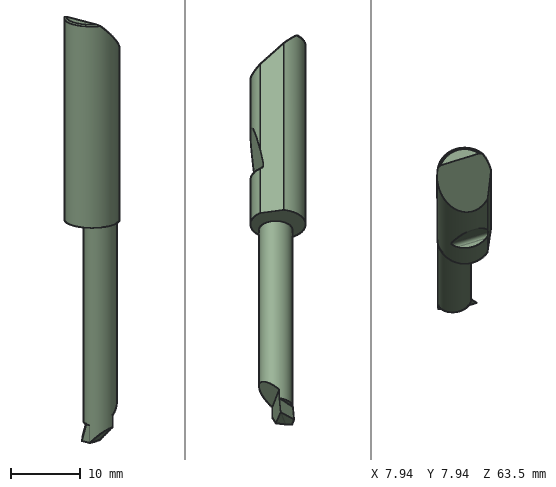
import cadquery as cq
import math

total_length = 63.5
shank_radius = 3.97
shank_bottom = 33.0
rim_chamfer_width = 0.3
rim_chamfer_height = 0.2

slope_start_y = -2.2
slope_angle = 44.0
flat_normal_angle = 26.0
flat_distance = shank_radius * math.cos(math.radians(flat_normal_angle))

notch_top = 48.75
notch_bottom = 40.6
notch_depth = 1.3
notch_ramp_bottom = 41.3
notch_corner_radius = 0.6

neck_radius = 2.4
neck_x = shank_radius - neck_radius
rake_bottom = 4.45
rake_top = 6.55
neck_bevel_top = 2.65

tip_height = 3.0
tip_point_x = -1.85
tip_heel_x = 0.05
tip_lean = 0.95
tip_floor_rise = 0.3
tip_end_rise = 0.2

reach = 25.4


def prism_along_x(points):
    """Solid with the given (Y, Z) outline, symmetric about X = 0."""
    return cq.Workplane("YZ").polyline(points).close().extrude(reach, both=True)


def prism_along_y(points):
    """Solid with the given (X, Z) outline, symmetric about Y = 0."""
    return cq.Workplane("XZ").polyline(points).close().extrude(reach, both=True)


def make_shank():
    rim_radius = shank_radius - rim_chamfer_width
    rim_bottom = total_length - rim_chamfer_height
    body = (
        cq.Workplane("XZ")
        .moveTo(0, shank_bottom)
        .lineTo(shank_radius, shank_bottom)
        .lineTo(shank_radius, rim_bottom)
        .lineTo(rim_radius, total_length)
        .lineTo(0, total_length)
        .close()
        .revolve(360, (0, 0), (0, 1))
    )

    slope_drop = reach * math.tan(math.radians(slope_angle))
    slope = prism_along_x([
        (slope_start_y, total_length),
        (slope_start_y + reach, total_length),
        (slope_start_y + reach, total_length - slope_drop),
    ])

    flat = (
        cq.Workplane("XY")
        .box(reach, reach, total_length, centered=(False, True, False))
        .translate((flat_distance, 0, shank_bottom))
        .rotate((0, 0, 0), (0, 0, 1), 180 - flat_normal_angle)
    )
    return body.cut(slope).cut(flat).cut(make_notch())


def make_notch():
    floor_y = shank_radius - notch_depth
    arc_start_z = notch_bottom + notch_corner_radius
    arc_end_y = floor_y + notch_corner_radius
    arc_inset = notch_corner_radius * (1 - math.sqrt(0.5))
    return (
        cq.Workplane("YZ")
        .moveTo(shank_radius, notch_top)
        .lineTo(floor_y, notch_ramp_bottom)
        .lineTo(floor_y, arc_start_z)
        .threePointArc((floor_y + arc_inset, notch_bottom + arc_inset), (arc_end_y, notch_bottom))
        .lineTo(shank_radius, notch_bottom)
        .close()
        .extrude(reach, both=True)
    )


def make_neck():
    body = cq.Workplane("XY").center(neck_x, 0).circle(neck_radius).extrude(shank_bottom)

    rake = prism_along_x([
        (0, -reach),
        (0, rake_bottom),
        (neck_radius, rake_top),
        (reach, rake_top),
        (reach, -reach),
    ])
    bevel = prism_along_y([
        (shank_radius, neck_bevel_top),
        (shank_radius - reach, neck_bevel_top - reach),
        (shank_radius, neck_bevel_top - reach),
    ])
    tip_space = prism_along_y([
        (neck_x, -reach),
        (neck_x, tip_height),
        (-reach, tip_height),
        (-reach, -reach),
    ])
    return body.cut(rake).cut(bevel).cut(tip_space)


def tip_outline(shift):
    """Tip cross-section (X, Y) with its relieved flank moved along X."""
    return [
        (tip_point_x + shift, 0),
        (tip_heel_x + shift, -neck_radius),
        (neck_x, -neck_radius),
        (neck_x, 0),
    ]


def make_tip():
    body = (
        cq.Workplane("XY")
        .polyline(tip_outline(0))
        .close()
        .workplane(offset=tip_height)
        .polyline(tip_outline(tip_lean))
        .close()
        .loft(ruled=True)
    )
    clearance = prism_along_x([
        (0, 0),
        (-neck_radius, 0),
        (-neck_radius, tip_floor_rise),
    ])
    end_relief = prism_along_y([
        (tip_point_x, 0),
        (neck_x, 0),
        (neck_x, tip_end_rise),
    ])
    return body.cut(clearance).cut(end_relief)


result = make_shank().union(make_neck()).union(make_tip())